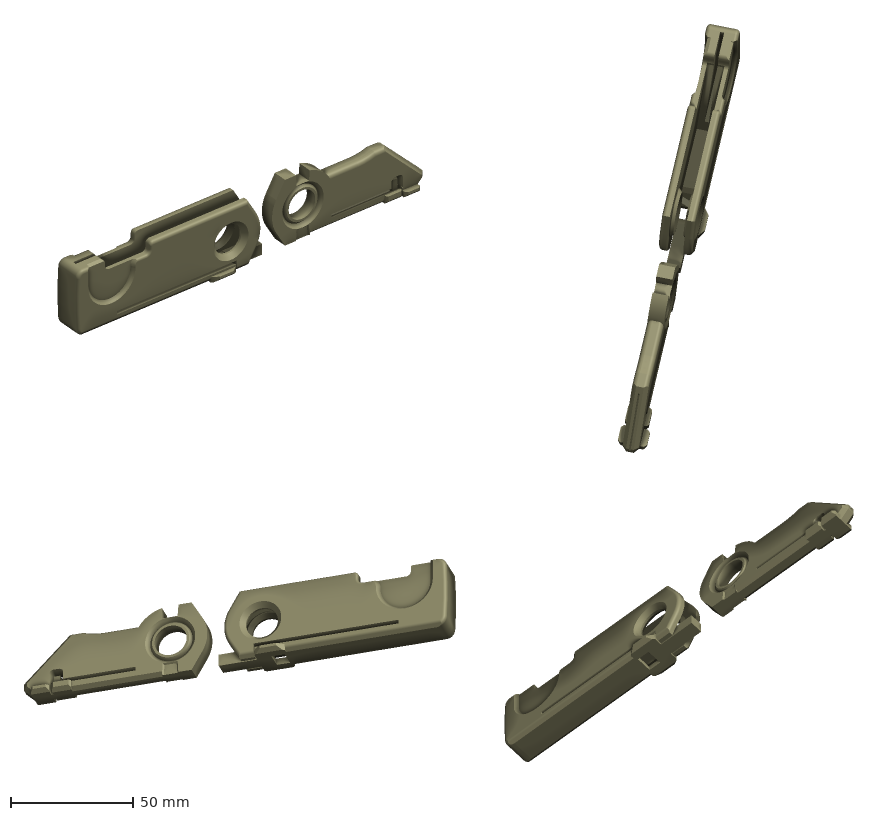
import cadquery as cq
import math


half_height = 16.0
bottom_z = -half_height
head_radius = half_height
corner_y = head_radius * (1 / math.cos(math.radians(30)) - math.tan(math.radians(30)))
tangent_y = head_radius * math.cos(math.radians(30))
tangent_z = head_radius * math.sin(math.radians(30))
pivot_hole_radius = 13.8 / 2
pivot_spacing = 40.0
bottom_bevel = 1.6
slot_drop = 1.75
overcut = 1.0

blade_half = 3.4
tip_y = 63.55
tip_top_z = -8.9
tip_chin = 4.2
tip_chamfer = 1.8
crest_z = 10.8
crest_end_y = 37.7
spine_z = 9.2
spine_start_y = 28.8
spine_fillet = 2.0
notch_half_top = 3.6
notch_half_bottom = 3.2
notch_floor_z = 10.7
side_notch_depth = 0.6
side_notch_top_z = -notch_floor_z
groove_outer_radius = 10.8
groove_root_radius = 9.1
collar_radius = 8.0
edge_groove_width = 0.7
edge_groove_depth = 1.0
edge_groove_end_y = 46.0
blade_slot_top_z = -10.2
blade_slot_height = 1.7
blade_slot_end_y = 14.9
split_y = 50.75
split_width = 0.9
split_membrane = 0.4
hook_rear_y = 46.1
hook_front_y = 52.0
hook_top_z = -5.2
hook_corner = 1.8
hook_taper = 1.3
finger_rear_y = 47.9
finger_front_y = 50.5
finger_top_z = -7.5
finger_half = 1.7
finger_root_z = -14.5
tip_wing_half = 6.1
tip_wing_front_y = 59.5
tip_wing_top_z = -13.1
tip_wing_corner = 1.1
lever_wing_half = 5.0
lever_wing_rear_y = 42.5
lever_wing_top_z = -12.0
lever_wing_corner = 0.8

handle_half = 6.9
channel_half = 3.6
rear_y = -80.27
rear_bulge = 0.7
rear_top_radius = 3.5
rear_bottom_radius = 4.5
edge_fillet = 1.6
handle_bevel = 1.7
spine_floor_z = -9.7
spine_floor_start_y = -16.2
spine_floor_end_y = -19.5
head_slope_top_y = -14.0
head_slope_top_z = -10.5
head_slope_foot_z = -14.0
ramp_start_y = -43.3
ramp_start_z = -11.2
ramp_end_y = -63.7
center_groove_half = 0.85
center_groove_start_y = -46.0
center_groove_end_y = -76.0
cutout_front_y = -42.0
cutout_rear_y = -64.3
cutout_floor_z = 10.4
cutout_corner = 2.0
thumb_center_y = -62.0
thumb_center_z = 6.7
thumb_radius = 12.3
thumb_depth = 1.5
thumb_blend = 3.0
block_top_half = 4.0
block_bevel_height = 0.8
rim_fillet = 1.2
boss_root_radius = 10.3
boss_tip_radius = 8.8
boss_tip_x = 2.1
boss_rim = 0.2
outer_cone_radius = 9.0
handle_slot_top_z = -10.5
handle_slot_height = 1.7
handle_slot_end_y = -59.4
lever_front_y = 3.0
lever_split = 0.4
bar_half = 3.0
bar_front_y = 19.2
bar_top_z = -10.7
tooth_top_z = -11.0
tooth_flat_end_y = -0.4
tooth_foot_y = -3.7
tooth_foot_z = -14.2
tooth_bulge_y = -2.6
tooth_bulge_z = -12.0
lever_window_end_y = -9.4
handle_wing_half = 9.0
handle_wing_rear_y = -10.5
handle_wing_top_z = -13.2
handle_wing_corner_x = 2.25
handle_wing_corner_y = 3.0


def slab(profile, half_width):
    """Extrudes a YZ profile symmetrically about the middle plane."""
    return profile.extrude(half_width, both=True)


def box(x_half, y_min, y_max, z_min, z_max):
    """Box centred on the middle plane, between the given Y and Z limits."""
    return (
        cq.Workplane("XY")
        .box(2 * x_half, y_max - y_min, z_max - z_min, centered=(True, False, False))
        .translate((0, y_min, z_min))
    )


def turned_pair(points):
    """Revolves (x, radius) points about the pivot axis, plus the mirrored copy on -X."""
    ring = cq.Workplane("XY").polyline(points).close().revolve(360, (0, 0, 0), (1, 0, 0))
    return ring.union(ring.mirror("YZ"))


def chevron_slot(half_width, y_min, y_max, top_z, height):
    """Lever slot that falls from both side faces towards the middle plane."""
    reach = half_width + overcut
    rise = slot_drop * overcut / half_width
    middle_top = top_z - slot_drop
    points = [
        (-reach, top_z + rise),
        (0, middle_top),
        (reach, top_z + rise),
        (reach, top_z + rise - height),
        (0, middle_top - height),
        (-reach, top_z + rise - height),
    ]
    section = cq.Workplane("XZ").workplane(offset=-y_max).polyline(points).close()
    return section.extrude(y_max - y_min)


def bottom_bevels(half_width, bevel, y_min, y_max):
    """Pair of prisms that bevel both lower long edges of a body."""
    reach = bevel + overcut
    wedge = (
        cq.Workplane("XZ")
        .workplane(offset=-y_max)
        .moveTo(half_width + overcut, bottom_z + reach)
        .lineTo(half_width + overcut, bottom_z - overcut)
        .lineTo(half_width - reach, bottom_z - overcut)
        .close()
        .extrude(y_max - y_min)
    )
    return wedge.union(wedge.mirror("YZ"))


def grip_wings(x_half, y_min, y_max, top_z, corner_x, corner_length):
    """Bar across a lever whose ends are finger grips with cut corners and a bevelled underside."""
    plan = (
        cq.Workplane("XY")
        .workplane(offset=bottom_z)
        .moveTo(x_half, y_min + corner_length)
        .lineTo(x_half, y_max - corner_length)
        .lineTo(x_half - corner_x, y_max)
        .lineTo(corner_x - x_half, y_max)
        .lineTo(-x_half, y_max - corner_length)
        .lineTo(-x_half, y_min + corner_length)
        .lineTo(corner_x - x_half, y_min)
        .lineTo(x_half - corner_x, y_min)
        .close()
        .extrude(top_z - bottom_z)
    )
    return plan.cut(bottom_bevels(x_half, bottom_bevel, y_min - overcut, y_max + overcut))


def side_edges(x, y_min, y_max, z_min, z_max):
    """Selects the edges of both side faces whose centres lie within the Y and Z limits."""
    margin = 0.1
    selectors = [
        cq.selectors.BoxSelector(
            (side * x - margin, y_min, z_min - margin),
            (side * x + margin, y_max + margin, z_max + margin),
        )
        for side in (-1, 1)
    ]
    return cq.selectors.SumSelector(*selectors)


def blade_body():
    tip_run = crest_z - tip_top_z
    arc_rise = crest_z - spine_z
    arc_run = crest_end_y - spine_start_y
    arc_radius = (arc_run**2 + arc_rise**2) / (2 * arc_rise)
    arc_mid_angle = math.asin(arc_run / arc_radius) / 2
    arc_mid = (
        spine_start_y + arc_radius * math.sin(arc_mid_angle),
        spine_z + arc_radius * (1 - math.cos(arc_mid_angle)),
    )
    body = slab(
        cq.Workplane("YZ")
        .moveTo(0, bottom_z)
        .lineTo(tip_y - tip_chin, bottom_z)
        .lineTo(tip_y, bottom_z + tip_chin)
        .lineTo(tip_y, tip_top_z)
        .lineTo(tip_y - tip_run, crest_z)
        .lineTo(crest_end_y, crest_z)
        .threePointArc(arc_mid, (spine_start_y, spine_z))
        .lineTo(0, spine_z)
        .close(),
        blade_half,
    )
    crest_start_y = tip_y - tip_run
    tip_edges = side_edges(blade_half, crest_start_y, tip_y, bottom_z, crest_z)
    spine_edges = side_edges(blade_half, 0, crest_start_y, spine_z, crest_z)
    body = body.edges(tip_edges).chamfer(tip_chamfer).intersect(body.edges(spine_edges).fillet(spine_fillet))
    return body.cut(bottom_bevels(blade_half, bottom_bevel, notch_half_top, tip_y + overcut))


def blade_head():
    """Pivot end: a round back towards the spine and straight tangent flanks at the joint."""
    diagonal = head_radius * math.sqrt(0.5)
    return slab(
        cq.Workplane("YZ")
        .moveTo(notch_half_top, bottom_z)
        .lineTo(-corner_y, bottom_z)
        .lineTo(-tangent_y, -tangent_z)
        .threePointArc((-head_radius, 0), (-tangent_y, tangent_z))
        .lineTo(-corner_y, half_height)
        .lineTo(0, half_height)
        .threePointArc((diagonal, diagonal), (head_radius, 0))
        .lineTo(notch_half_top, 0)
        .close(),
        blade_half,
    )


def lock_notch():
    """Tapered notch through the top that takes the lock tooth of the handle."""
    return slab(
        cq.Workplane("YZ")
        .moveTo(-notch_half_top, half_height)
        .lineTo(-notch_half_bottom, notch_floor_z)
        .lineTo(notch_half_bottom, notch_floor_z)
        .lineTo(notch_half_top, half_height)
        .close(),
        blade_half + overcut,
    )


def side_notches():
    """Shallow notches with sloped walls in the lower half of both side faces."""

    def outline(inset):
        return [
            (inset - notch_half_top, bottom_z - overcut),
            (inset - notch_half_bottom, side_notch_top_z - inset),
            (notch_half_bottom - inset, side_notch_top_z - inset),
            (notch_half_top - inset, bottom_z - overcut),
        ]

    notch = (
        cq.Workplane("YZ")
        .workplane(offset=blade_half + overcut)
        .polyline(outline(-overcut))
        .close()
        .workplane(offset=-overcut - side_notch_depth)
        .polyline(outline(side_notch_depth))
        .close()
        .loft(ruled=True)
    )
    return notch.union(notch.mirror("YZ"))


def blade_pivot_cut():
    """Pivot hole with a low collar and a V groove round it on both sides."""
    groove_depth = groove_outer_radius - groove_root_radius
    root_x = blade_half - groove_depth
    collar_x = root_x + groove_root_radius - collar_radius
    return turned_pair([
        (0, 0),
        (0, pivot_hole_radius),
        (collar_x, pivot_hole_radius),
        (collar_x, collar_radius),
        (root_x, groove_root_radius),
        (blade_half, groove_outer_radius),
        (blade_half + overcut, groove_outer_radius),
        (blade_half + overcut, 0),
    ])


def edge_groove():
    """Narrow groove along the middle of the slanted cutting edge, open at the tip."""
    depth = edge_groove_depth * math.sqrt(2)
    end_z = tip_top_z + tip_y - edge_groove_end_y
    return slab(
        cq.Workplane("YZ")
        .moveTo(tip_y + overcut, tip_top_z - overcut)
        .lineTo(edge_groove_end_y, end_z)
        .lineTo(edge_groove_end_y, end_z - depth)
        .lineTo(tip_y + overcut, tip_top_z - overcut - depth)
        .close(),
        edge_groove_width / 2,
    )


def hook_pocket():
    """Pocket round the lever finger, narrowing from both side faces to the middle."""
    base_z = blade_slot_top_z - blade_slot_height
    bend = hook_corner * (1 - math.sqrt(0.5))
    side = (
        cq.Workplane("YZ")
        .workplane(offset=-blade_half)
        .moveTo(hook_rear_y, base_z)
        .lineTo(hook_rear_y, hook_top_z - hook_corner)
        .threePointArc((hook_rear_y + bend, hook_top_z - bend), (hook_rear_y + hook_corner, hook_top_z))
        .lineTo(hook_front_y - hook_corner, hook_top_z)
        .threePointArc((hook_front_y - bend, hook_top_z - bend), (hook_front_y, hook_top_z - hook_corner))
        .lineTo(hook_front_y, base_z)
        .close()
        .extrude(blade_half, taper=math.degrees(math.atan(hook_taper / blade_half)))
    )
    link = box(
        blade_half + overcut,
        hook_rear_y + hook_taper,
        hook_front_y - hook_taper,
        blade_slot_top_z - slot_drop,
        finger_top_z,
    )
    return side.union(side.mirror("YZ")).union(link)


def make_blade():
    blade = blade_body().union(blade_head())
    split_end_y = split_y + split_width
    blade = blade.union(
        grip_wings(
            tip_wing_half, split_end_y, tip_wing_front_y, tip_wing_top_z, tip_wing_corner, tip_wing_corner
        )
    )
    blade = blade.union(
        grip_wings(
            lever_wing_half, lever_wing_rear_y, split_y, lever_wing_top_z, lever_wing_corner, lever_wing_corner
        )
    )
    blade = blade.cut(lock_notch()).cut(blade_pivot_cut()).cut(side_notches()).cut(edge_groove())
    blade = blade.cut(hook_pocket())
    blade = blade.cut(
        chevron_slot(blade_half, blade_slot_end_y, split_end_y, blade_slot_top_z, blade_slot_height)
    )
    blade = blade.cut(
        box(handle_half, split_y, split_end_y, bottom_z + split_membrane, blade_slot_top_z - slot_drop / 2)
    )
    return blade.union(box(finger_half, finger_rear_y, finger_front_y, finger_root_z, finger_top_z))


def handle_shell():
    end_y = rear_y + rear_bulge
    shell = slab(
        cq.Workplane("YZ")
        .moveTo(end_y, half_height)
        .lineTo(corner_y, half_height)
        .lineTo(tangent_y, tangent_z)
        .threePointArc((head_radius, 0), (tangent_y, -tangent_z))
        .lineTo(corner_y, bottom_z)
        .lineTo(end_y, bottom_z)
        .threePointArc((rear_y, 0), (end_y, half_height))
        .close(),
        handle_half,
    )
    shell = shell.edges("|X").edges("<Y").edges(">Z").fillet(rear_top_radius)
    shell = shell.edges(cq.selectors.NearestToPointSelector((0, end_y, bottom_z))).fillet(rear_bottom_radius)
    shell = shell.cut(bottom_bevels(handle_half, handle_bevel, rear_y - overcut, head_radius + overcut))
    return shell.faces("<X or >X").edges().fillet(edge_fillet)


def channel_cut():
    """Blade channel: open at the front, its floor following the folded blade."""
    return slab(
        cq.Workplane("YZ")
        .moveTo(head_radius + overcut, half_height + overcut)
        .lineTo(head_radius + overcut, bottom_z - overcut)
        .lineTo(lever_window_end_y, bottom_z - overcut)
        .lineTo(lever_window_end_y, head_slope_foot_z)
        .lineTo(head_slope_top_y, head_slope_top_z)
        .lineTo(spine_floor_start_y, spine_floor_z)
        .lineTo(spine_floor_end_y, spine_floor_z)
        .lineTo(ramp_start_y, ramp_start_z)
        .lineTo(ramp_end_y, ramp_start_z + ramp_start_y - ramp_end_y)
        .lineTo(ramp_end_y, half_height + overcut)
        .close(),
        channel_half,
    )


def thumb_cutout():
    """Opening across the top edge, with rounded corners at the floor and at the rim."""
    r = cutout_corner
    front, rear = cutout_front_y, cutout_rear_y
    low, high = cutout_floor_z, half_height
    bend = r * (1 - math.sqrt(0.5))
    return slab(
        cq.Workplane("YZ")
        .moveTo(front + r, high)
        .threePointArc((front + bend, high - bend), (front, high - r))
        .lineTo(front, low + r)
        .threePointArc((front - bend, low + bend), (front - r, low))
        .lineTo(rear + r, low)
        .threePointArc((rear + bend, low + bend), (rear, low + r))
        .lineTo(rear, high - r)
        .threePointArc((rear - bend, high - bend), (rear - r, high))
        .close(),
        handle_half + overcut,
    )


def thumb_recesses():
    """Shallow U-shaped recess with a sloped rim on both sides, open at the top."""
    front = thumb_center_y + thumb_radius
    rear = thumb_center_y - thumb_radius
    recess_top_z = half_height + 2 * thumb_depth
    blend_z = cutout_floor_z - thumb_blend
    bend = thumb_blend * (1 - math.sqrt(0.5))
    recess = (
        cq.Workplane("YZ")
        .workplane(offset=-handle_half)
        .moveTo(rear, recess_top_z)
        .lineTo(rear, thumb_center_z)
        .threePointArc((thumb_center_y, thumb_center_z - thumb_radius), (front, thumb_center_z))
        .lineTo(front, blend_z)
        .threePointArc((front + bend, cutout_floor_z - bend), (front + thumb_blend, cutout_floor_z))
        .lineTo(front + thumb_blend, recess_top_z)
        .close()
        .extrude(thumb_depth, taper=45)
    )
    return recess.union(recess.mirror("YZ"))


def recess_top_bevels():
    """Prisms that bevel the top edge of the rear block inside the thumb recesses."""
    wedge = (
        cq.Workplane("XZ")
        .workplane(offset=-cutout_rear_y)
        .moveTo(block_top_half, half_height)
        .lineTo(handle_half - thumb_depth, half_height - block_bevel_height)
        .lineTo(handle_half, half_height - block_bevel_height)
        .lineTo(handle_half, half_height)
        .close()
        .extrude(cutout_rear_y - thumb_center_y + thumb_radius - thumb_depth)
    )
    return wedge.union(wedge.mirror("YZ"))


def pivot_bosses():
    """Conical bosses inside the channel that sit in the V grooves of the blade."""
    root_x = boss_tip_x + boss_root_radius - boss_tip_radius
    return turned_pair([
        (boss_tip_x, 0),
        (boss_tip_x, boss_tip_radius),
        (root_x, boss_root_radius),
        (root_x + overcut, boss_root_radius),
        (root_x + overcut, 0),
    ])


def handle_pivot_cut():
    """Pivot hole through both walls, flared at the boss tip and at the outer face."""
    rim_radius = boss_tip_radius - boss_rim
    return turned_pair([
        (0, 0),
        (0, rim_radius),
        (boss_tip_x, rim_radius),
        (boss_tip_x + rim_radius - pivot_hole_radius, pivot_hole_radius),
        (handle_half - outer_cone_radius + pivot_hole_radius, pivot_hole_radius),
        (handle_half, outer_cone_radius),
        (handle_half + overcut, outer_cone_radius),
        (handle_half + overcut, 0),
    ])


def lock_bar():
    """Front bar of the lock lever, ending in the tooth that enters the blade notch."""
    return slab(
        cq.Workplane("YZ")
        .moveTo(bar_front_y, bottom_z)
        .lineTo(bar_front_y, bar_top_z)
        .lineTo(lever_front_y, bar_top_z)
        .lineTo(lever_front_y, tooth_top_z)
        .lineTo(tooth_flat_end_y, tooth_top_z)
        .threePointArc((tooth_bulge_y, tooth_bulge_z), (tooth_foot_y, tooth_foot_z))
        .lineTo(tooth_foot_y, bottom_z)
        .close(),
        bar_half,
    )


def make_handle():
    handle = handle_shell()
    handle = handle.union(
        grip_wings(
            handle_wing_half,
            handle_wing_rear_y,
            lever_front_y - lever_split,
            handle_wing_top_z,
            handle_wing_corner_x,
            handle_wing_corner_y,
        )
    )
    handle = handle.cut(thumb_recesses()).cut(thumb_cutout())
    front_rim_z = (half_height + cutout_floor_z) / 2
    for side in (-1, 1):
        front_rim = cq.selectors.NearestToPointSelector((side * handle_half, cutout_front_y, front_rim_z))
        handle = handle.edges(front_rim).fillet(rim_fillet)
    handle = handle.cut(recess_top_bevels()).cut(channel_cut())
    groove_floor_z = ramp_start_z + ramp_start_y - center_groove_start_y
    handle = handle.cut(
        box(center_groove_half, center_groove_end_y, center_groove_start_y, groove_floor_z, half_height + overcut)
    )
    handle = handle.cut(
        chevron_slot(handle_half, handle_slot_end_y, lever_front_y, handle_slot_top_z, handle_slot_height)
    )
    slot_bottom_z = handle_slot_top_z - handle_slot_height
    handle = handle.cut(
        box(handle_half + overcut, lever_front_y - lever_split, lever_front_y, bottom_z - overcut, slot_bottom_z)
    )
    handle = handle.union(lock_bar())
    handle = handle.union(
        box(channel_half, tooth_foot_y, lever_front_y - lever_split, bottom_z, tooth_foot_z)
    )
    return handle.union(pivot_bosses()).cut(handle_pivot_cut())


blade = make_blade().translate((0, pivot_spacing, 0))
handle = make_handle()
result = cq.Compound.makeCompound([blade.solids().val(), handle.solids().val()])